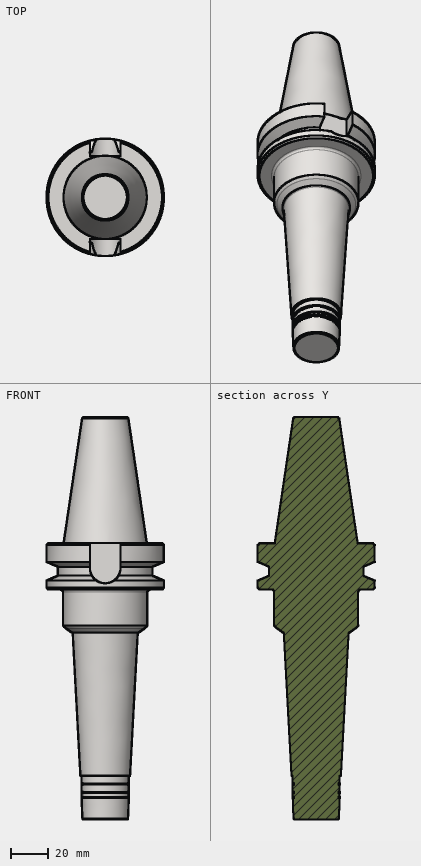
import cadquery as cq

total_height = 215.5
taper_length = 67.5
flange_top = total_height - taper_length

taper_base_diameter = 44.5
taper_ratio = 7 / 24
taper_tip_radius = (taper_base_diameter - taper_length * taper_ratio) / 2
tip_chamfer = 0.9

flange_radius = 63.0 / 2
flange_thickness = 25.0
flange_bottom = flange_top - flange_thickness
flange_chamfer = 1.0
groove_radius = 25.5
groove_start = flange_top - 10.1
groove_floor_top = flange_top - 12.7
groove_floor_bottom = flange_top - 17.5
groove_end = flange_top - 20.0

collar_radius = 22.6
collar_fillet = 1.3
collar_bottom = flange_top - 44.2
collar_edge_height = 1.5
collar_edge_width = 1.5
neck_top = flange_top - 47.8

neck_radius = 17.5
neck_fillet = 0.6
neck_end = 23.3
neck_end_radius = 13.4
neck_edge = 0.5

nose_radius = 12.7
nose_tip_radius = 12.3
nose_cone_top = 11.6
nose_chamfer = 0.6
ring_groove_depth = 0.6
ring_groove_width = 0.6
ring_groove_heights = (18.7, 14.2, 11.6)

slot_width = 16.4
slot_depth_below_flange = 21.5
slot_floor_y = 22.2


def make_body():
    """Revolve the complete half-profile about Z."""
    outline = (
        cq.Workplane("XZ")
        .moveTo(0, total_height)
        .lineTo(taper_tip_radius - tip_chamfer, total_height)
        .lineTo(taper_tip_radius, total_height - tip_chamfer)
        .lineTo(taper_base_diameter / 2, flange_top)
        .lineTo(flange_radius - flange_chamfer, flange_top)
        .lineTo(flange_radius, flange_top - flange_chamfer)
        .lineTo(flange_radius, groove_start)
        .lineTo(groove_radius, groove_floor_top)
        .lineTo(groove_radius, groove_floor_bottom)
        .lineTo(flange_radius, groove_end)
        .lineTo(flange_radius, flange_bottom + flange_chamfer)
        .lineTo(flange_radius - flange_chamfer, flange_bottom)
        .lineTo(collar_radius + collar_fillet, flange_bottom)
        .radiusArc((collar_radius, flange_bottom - collar_fillet), -collar_fillet)
        .lineTo(collar_radius, collar_bottom)
        .lineTo(collar_radius - collar_edge_width, collar_bottom - collar_edge_height)
        .lineTo(neck_radius + neck_fillet, neck_top)
        .radiusArc((neck_radius, neck_top - neck_fillet), -neck_fillet)
        .lineTo(neck_end_radius, neck_end + neck_edge)
        .lineTo(neck_end_radius - neck_edge, neck_end)
        .lineTo(nose_radius, neck_end)
        .lineTo(nose_radius, nose_cone_top)
        .lineTo(nose_tip_radius, nose_chamfer)
        .lineTo(nose_tip_radius - nose_chamfer, 0)
        .lineTo(0, 0)
        .close()
    )
    return outline.revolve(360, (0, 0, 0), (0, 1, 0))


def make_ring_groove(bottom):
    """Thin ring that cuts one groove around the nose."""
    return (
        cq.Workplane("XY", origin=(0, 0, bottom))
        .circle(neck_radius)
        .circle(nose_radius - ring_groove_depth)
        .extrude(ring_groove_width)
    )


def make_slot(side):
    """Round-bottomed slot open at the flange top; side is -1 or +1 along Y."""
    half_width = slot_width / 2
    arc_center = flange_top - slot_depth_below_flange + half_width
    return (
        cq.Workplane("XZ", origin=(0, side * slot_floor_y, 0))
        .moveTo(-half_width, flange_top)
        .lineTo(-half_width, arc_center)
        .threePointArc((0, arc_center - half_width), (half_width, arc_center))
        .lineTo(half_width, flange_top)
        .close()
        .extrude(-side * flange_radius)
    )


result = make_body()
for groove_height in ring_groove_heights:
    result = result.cut(make_ring_groove(groove_height))
for slot_side in (-1, 1):
    result = result.cut(make_slot(slot_side))